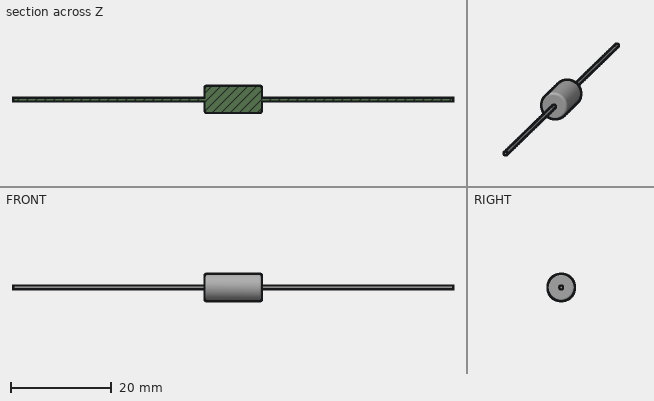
import cadquery as cq

overall_length = 87.5
wire_diameter = 0.8
body_length = 11.5
body_diameter = 5.5
edge_radius = 0.5


def centered_rod(length, diameter):
    """Cylinder along X, centred on the origin."""
    return cq.Workplane("YZ", origin=(-length / 2, 0, 0)).circle(diameter / 2).extrude(length)


body = centered_rod(body_length, body_diameter).faces("<X or >X").edges().fillet(edge_radius)
wire = centered_rod(overall_length, wire_diameter)

result = body.union(wire)